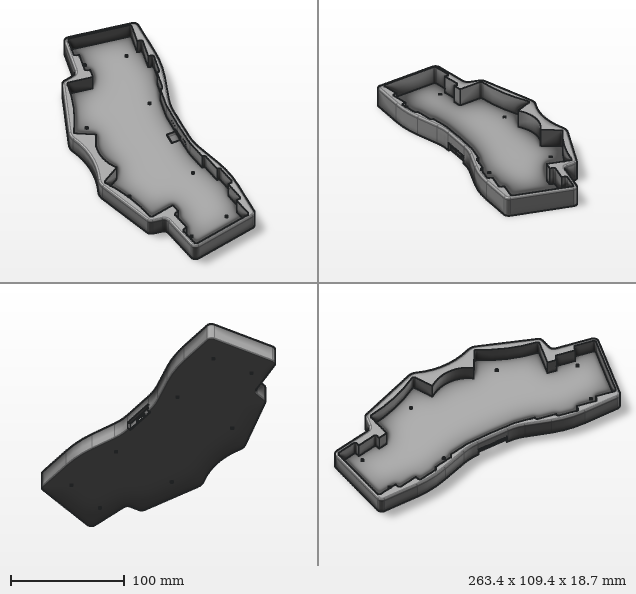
import cadquery as cq
import math


height = 18.7
floor_thickness = 2.6
depth = 109.3
back_y = depth / 2
top_fillet = 2.0
bottom_fillet = 1.0

hand_tilt = math.radians(10)
left_tip_x = -132.5
left_tip_y = -11.8
wing_front_length = 42.0
notch_depth = 15.3
palm_tilt = math.radians(20)
palm_length = 62.7
front_arc_y = -49.0
back_bend_x = -68.2
back_center_x = -23.0
back_center_y = 40.0

corner_radius = 5.0
front_tip_radius = 11.8
back_bend_radius = 100.0
back_center_radius = 50.0

key_origin_x = -118.5
key_origin_y = 48.0
key_clearance = 0.5
well_corner_radius = 2.0
four_keys_width = 76.0
key_pitch = four_keys_width / 4
stagger = key_pitch / 4
rows = 3
column_tops = [0, stagger, 2 * stagger, 1.5 * stagger, stagger]
front_columns = 2.5
thumb_drop = 1.25 * key_pitch
thumb_chord = 56.5
thumb_bow = 3.0
thumb_wall_tilt = math.radians(60)
thumb_wall_length = 20.0
thumb_well_y = -39.8
well_back_end_y = 36.0
well_back_center_y = 35.5

port_width = 10.5
port_corner_radius = 1.5
port_bottom = 1.3
port_top = 6.5
port_front_y = 28.2

recess_width = 28.5
recess_depth = 3.0
recess_top = port_bottom + port_top

screw_diameter = 2.5
screw_places = [
    (100.8, 35.0),
    (43.7, 30.0),
    (43.0, -31.9),
    (107.7, -2.5),
]


def step(point, length, angle):
    """Point reached from the given one by going a length along a direction."""
    return (point[0] + length * math.cos(angle), point[1] + length * math.sin(angle))


def mirrored(point):
    return (-point[0], point[1])


def key_point(u, v):
    """Key frame to part: u runs along a row of keys, v along a column."""
    along_row = step((key_origin_x, key_origin_y), u, -hand_tilt)
    return step(along_row, v, math.pi / 2 - hand_tilt)


def outer_body():
    left_tip = (left_tip_x, left_tip_y)
    back_corner = (left_tip_x + (back_y - left_tip_y) * math.tan(hand_tilt), back_y)
    inside_corner = step(left_tip, wing_front_length, -hand_tilt)
    palm_corner = step(inside_corner, notch_depth, hand_tilt - math.pi / 2)
    front_tip = step(palm_corner, palm_length, -palm_tilt)
    corners = [
        (front_tip, front_tip_radius),
        (palm_corner, corner_radius),
        (inside_corner, corner_radius),
        (left_tip, corner_radius),
        (back_corner, corner_radius),
        ((back_bend_x, back_y), back_bend_radius),
        ((back_center_x, back_center_y), back_center_radius),
    ]
    left = [point for point, _ in corners]
    right = [mirrored(point) for point in reversed(left)]
    body = (
        cq.Workplane("XY")
        .polyline(left + right)
        .threePointArc((0, front_arc_y), front_tip)
        .close()
        .extrude(height)
    )
    for point, radius in corners:
        for x, y in (point, mirrored(point)):
            corner_edge = cq.selectors.NearestToPointSelector((x, y, height / 2))
            body = body.edges(corner_edge).fillet(radius)
    body = body.faces(">Z").edges().fillet(top_fillet)
    return body.faces("<Z").edges().fillet(bottom_fillet)


def key_well():
    back = []
    for column, top in enumerate(column_tops):
        back.append(key_point(column * key_pitch, top))
        if column < len(column_tops) - 1:
            back.append(key_point((column + 1) * key_pitch, top))
    last_x, last_y = back[-1]
    back.append((last_x + (last_y - well_back_end_y) / math.tan(hand_tilt), well_back_end_y))
    back.append((0, well_back_center_y))

    front = []
    for column in range(math.ceil(front_columns)):
        bottom = column * stagger - rows * key_pitch
        column_end = min(column + 1, front_columns)
        front.append(key_point(column * key_pitch, bottom))
        front.append(key_point(column_end * key_pitch, bottom))

    thumb_start = key_point(front_columns * key_pitch, bottom - thumb_drop)
    thumb_end = step(thumb_start, thumb_chord, -palm_tilt)
    chord_middle = step(thumb_start, thumb_chord / 2, -palm_tilt)
    thumb_middle = step(chord_middle, thumb_bow, math.pi / 2 - palm_tilt)
    thumb_peak = step(thumb_end, thumb_wall_length, thumb_wall_tilt)

    left = list(reversed(front)) + back
    right = [mirrored(point) for point in reversed(left[:-1])]
    return (
        cq.Workplane("XY", origin=(0, 0, floor_thickness))
        .moveTo(*thumb_peak)
        .lineTo(*thumb_end)
        .threePointArc(thumb_middle, thumb_start)
        .polyline(left + right + [mirrored(thumb_start)], includeCurrent=True)
        .threePointArc(mirrored(thumb_middle), mirrored(thumb_end))
        .lineTo(*mirrored(thumb_peak))
        .threePointArc((0, thumb_well_y), thumb_peak)
        .close()
        .offset2D(key_clearance - well_corner_radius, "intersection")
        .offset2D(well_corner_radius, "arc")
        .extrude(height)
    )


def cable_port():
    return (
        cq.Workplane("XY")
        .box(port_width, back_y - port_front_y, port_top - port_bottom, centered=(True, False, False))
        .edges("|Y")
        .fillet(port_corner_radius)
        .translate((0, port_front_y, port_bottom))
    )


def plug_recess():
    return (
        cq.Workplane("XY")
        .rect(recess_width, 2 * recess_depth)
        .extrude(recess_top)
        .translate((0, back_center_y, 0))
    )


def screw_holes():
    places = screw_places + [mirrored(place) for place in screw_places]
    return cq.Workplane("XY").pushPoints(places).circle(screw_diameter / 2).extrude(height)


result = outer_body().cut(key_well()).cut(cable_port()).cut(plug_recess()).cut(screw_holes())